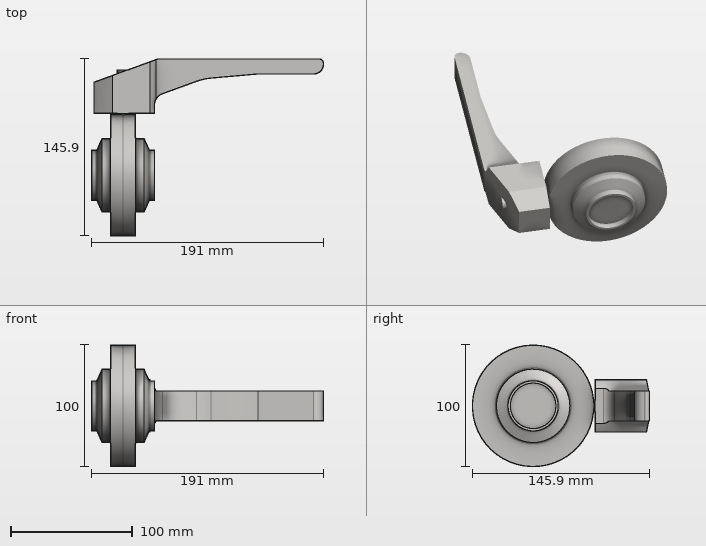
import cadquery as cq
import math


DISC_RADIUS = 50.0
DISC_WIDTH = 20.5
HUB_RADIUS = 30.2
HUB_HALF_LENGTH = 17.4
CONE_END_RADIUS = 20.6
CONE_END_X = 21.5
PIPE_RADIUS = CONE_END_RADIUS
BODY_HALF_LENGTH = 26.0
CORNER_FILLET = 1.0
SELECT_MARGIN = 0.2
BORE_RADIUS = 18.7
BORE_DEPTH = 4.8

STEM_RADIUS = 5.0
STEM_TOP = 86.7

LEVER_GAP = 1.0
HEAD_BOTTOM = DISC_RADIUS + LEVER_GAP
HEAD_BACK_X = -24.0
HEAD_BACK_TOP = 76.5
HEAD_FRONT_X = BODY_HALF_LENGTH
HEAD_HALF_WIDTH = 21.5
HEAD_WIDE_START_X = -8.5
HEAD_WIDE_END_X = 22.0
HEAD_TAPER_END_X = 27.1

ARM_HALF_WIDTH = 12.5
OVERALL_LENGTH = 191.0
ARM_TIP_X = OVERALL_LENGTH - BODY_HALF_LENGTH
ARM_TOP = 95.9
GRIP_THICKNESS = 12.6
GRIP_BOTTOM = ARM_TOP - GRIP_THICKNESS
GRIP_START_X = 111.2
BEND_X = 66.3
HEAD_SLOPE = math.radians(20)
ARM_SLOPE = math.radians(5)
ROOT_FILLET = 9.5
BEND_FILLET = 47.8
GRIP_BLEND_RADIUS = 9.5
TIP_BOTTOM_FILLET = 8.2
TIP_TOP_FILLET = 3.8


def make_valve_body():
    """Disc with a coned hub on both sides, blind bores and the stem, all in one piece."""
    half_disc = DISC_WIDTH / 2
    half_profile = (
        cq.Workplane("XY")
        .polyline([
            (0, 0),
            (0, DISC_RADIUS),
            (half_disc, DISC_RADIUS),
            (half_disc, HUB_RADIUS),
            (HUB_HALF_LENGTH, HUB_RADIUS),
            (CONE_END_X, CONE_END_RADIUS),
            (BODY_HALF_LENGTH, PIPE_RADIUS),
            (BODY_HALF_LENGTH, BORE_RADIUS),
            (BODY_HALF_LENGTH - BORE_DEPTH, BORE_RADIUS),
            (BODY_HALF_LENGTH - BORE_DEPTH, 0),
        ])
        .close()
    )
    half_body = half_profile.revolve(360, (0, 0, 0), (1, 0, 0))
    for corner_x in (half_disc, CONE_END_X):
        near = (corner_x - SELECT_MARGIN, -SELECT_MARGIN, -SELECT_MARGIN)
        far = (corner_x + SELECT_MARGIN, SELECT_MARGIN, SELECT_MARGIN)
        circles = half_body.edges("%CIRCLE").edges(cq.selectors.BoxSelector(near, far))
        smallest = circles.edges(cq.selectors.RadiusNthSelector(0))
        half_body = smallest.fillet(CORNER_FILLET)
    return half_body.union(half_body.mirror("YZ")).union(make_stem())


def make_stem():
    """Round rod from the valve centre up through the lever head."""
    return cq.Workplane("XZ").circle(STEM_RADIUS).extrude(-STEM_TOP)


def make_lever():
    """Lever: side profile trimmed to its plan outline, with the stem hole."""
    bend_y = GRIP_BOTTOM - (GRIP_START_X - BEND_X) * math.tan(ARM_SLOPE)
    bend = (BEND_X, bend_y)
    root = (HEAD_FRONT_X, bend_y - (BEND_X - HEAD_FRONT_X) * math.tan(HEAD_SLOPE))
    blend_length = GRIP_BLEND_RADIUS * math.tan(ARM_SLOPE / 2)
    blend_start = (
        GRIP_START_X - blend_length * math.cos(ARM_SLOPE),
        GRIP_BOTTOM - blend_length * math.sin(ARM_SLOPE),
    )
    blend_end = (GRIP_START_X + blend_length, GRIP_BOTTOM)
    tip_bottom = (ARM_TIP_X, GRIP_BOTTOM)
    tip_top = (ARM_TIP_X, ARM_TOP)
    slope_top_x = HEAD_BACK_X + (ARM_TOP - HEAD_BACK_TOP) / math.tan(HEAD_SLOPE)
    lever = (
        cq.Workplane("XY", origin=(0, 0, -HEAD_HALF_WIDTH))
        .polyline([
            (HEAD_BACK_X, HEAD_BOTTOM),
            (HEAD_FRONT_X, HEAD_BOTTOM),
            root,
            bend,
            blend_start,
        ])
        .tangentArcPoint(blend_end, relative=False)
        .lineTo(*tip_bottom)
        .lineTo(*tip_top)
        .lineTo(slope_top_x, ARM_TOP)
        .lineTo(HEAD_BACK_X, HEAD_BACK_TOP)
        .close()
        .extrude(2 * HEAD_HALF_WIDTH)
    )
    rounded_corners = [
        (root, ROOT_FILLET),
        (bend, BEND_FILLET),
        (tip_bottom, TIP_BOTTOM_FILLET),
        (tip_top, TIP_TOP_FILLET),
    ]
    for corner, radius in rounded_corners:
        lever = lever.edges(cq.selectors.NearestToPointSelector((*corner, 0))).fillet(radius)
    hole = cq.Workplane("XZ").circle(STEM_RADIUS).extrude(-ARM_TOP)
    return lever.intersect(make_plan_outline()).cut(hole)


def make_plan_outline():
    """Prism along Y with the lever's outline: a wide tapered head and a straight arm."""
    upper_side = [
        (HEAD_BACK_X, ARM_HALF_WIDTH),
        (HEAD_WIDE_START_X, HEAD_HALF_WIDTH),
        (HEAD_WIDE_END_X, HEAD_HALF_WIDTH),
        (HEAD_TAPER_END_X, ARM_HALF_WIDTH),
        (ARM_TIP_X, ARM_HALF_WIDTH),
    ]
    lower_side = [(x, -z) for x, z in reversed(upper_side)]
    return cq.Workplane("XZ").polyline(upper_side + lower_side).close().extrude(-ARM_TOP)


valve_body = make_valve_body()
lever = make_lever()

result = cq.Compound.makeCompound([valve_body.val(), lever.val()])